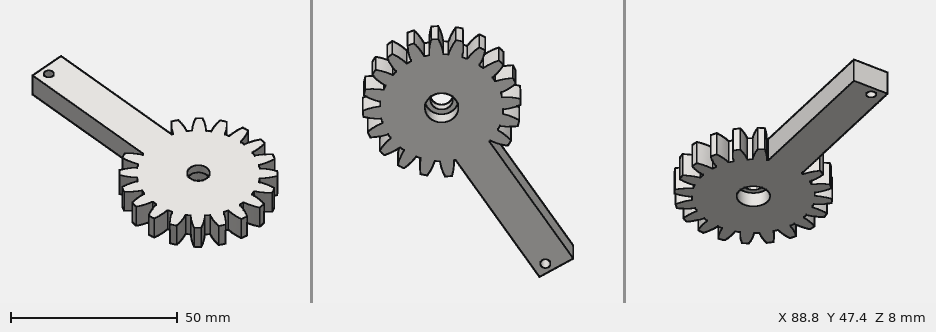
import cadquery as cq
import math

thickness = 8.0
tooth_count = 20
tip_radius = 23.7
flank_mid_radius = 20.9
root_radius = 18.5
tip_half_width = 1.1
flank_mid_half_width = 1.9
root_half_width = 2.1
bore_diameter = 6.75
counterbore_diameter = 10.0
bore_ledge_thickness = 3.0

overall_length = 88.8
arm_width = 12.0
tooth_pitch_angle = 360 / tooth_count
arm_tilt = tooth_pitch_angle / 2
arm_angle = 180 + arm_tilt
arm_corner_reach = overall_length - tip_radius
arm_corner_shift = arm_width / 2 * math.sin(math.radians(arm_tilt))
arm_length = (arm_corner_reach - arm_corner_shift) / math.cos(math.radians(arm_tilt))
arm_hole_diameter = 3.0
arm_hole_reach = 62.0
arm_hole_offset = 2.0
teeth_under_arm = (10, 11)


def flank_point(radius, half_width):
    """Point on the upper flank of the tooth along +X, at a distance from the gear axis."""
    return math.sqrt(radius**2 - half_width**2), half_width


def mirrored(point):
    """Matching point on the lower flank."""
    return point[0], -point[1]


def make_tooth():
    """One tooth along +X, with bulging flanks and a rounded tip land."""
    tip = flank_point(tip_radius, tip_half_width)
    middle = flank_point(flank_mid_radius, flank_mid_half_width)
    root = flank_point(root_radius, root_half_width)
    return (
        cq.Workplane("XY")
        .lineTo(*mirrored(root))
        .threePointArc(mirrored(middle), mirrored(tip))
        .threePointArc((tip_radius, 0), tip)
        .threePointArc(middle, root)
        .close()
        .extrude(thickness)
    )


def make_gear():
    gear = cq.Workplane("XY").circle(root_radius).extrude(thickness)
    tooth = make_tooth()
    for index in range(tooth_count):
        if index not in teeth_under_arm:
            gear = gear.union(tooth.rotate((0, 0, 0), (0, 0, 1), index * tooth_pitch_angle))
    return gear


def make_arm():
    """Flat bar from the gear axis, built along +X and turned into place."""
    hole = (
        cq.Workplane("XY")
        .center(arm_hole_reach, arm_hole_offset)
        .circle(arm_hole_diameter / 2)
        .extrude(thickness)
    )
    arm = (
        cq.Workplane("XY")
        .rect(arm_length, arm_width)
        .extrude(thickness)
        .translate((arm_length / 2, 0, 0))
        .cut(hole)
    )
    return arm.rotate((0, 0, 0), (0, 0, 1), arm_angle)


def make_bore():
    """Through bore with a wider counterbore opening on the underside."""
    through = cq.Workplane("XY").circle(bore_diameter / 2).extrude(thickness)
    counterbore = (
        cq.Workplane("XY")
        .circle(counterbore_diameter / 2)
        .extrude(thickness - bore_ledge_thickness)
    )
    return through.union(counterbore)


result = make_gear().union(make_arm()).cut(make_bore())